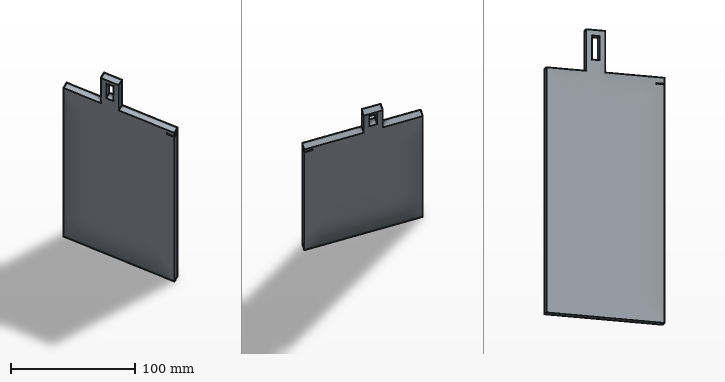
import cadquery as cq

total_height = 241.0
panel_width = 100.0
thickness = 6.0

tab_height = 35.0
tab_width = 16.1
tab_left = 33.7
panel_height = total_height - tab_height

window_margin = 4.8
window_width = tab_width - 2 * window_margin
window_height = 20.2

slit_length = 7.0
slit_height = 0.7
slit_drop = 5.0


def block(left, bottom, width, height):
    """Full-thickness box whose front face lies on Y = 0, placed by its lower left corner."""
    return cq.Workplane("XY").box(width, thickness, height, centered=False).translate((left, 0, bottom))


panel = block(0, 0, panel_width, panel_height)
tab = block(tab_left, panel_height, tab_width, tab_height)

window = block(
    tab_left + window_margin,
    total_height - window_margin - window_height,
    window_width,
    window_height,
)
slit = block(
    panel_width - slit_length,
    panel_height - slit_drop - slit_height,
    slit_length,
    slit_height,
)

result = panel.union(tab).cut(window).cut(slit)